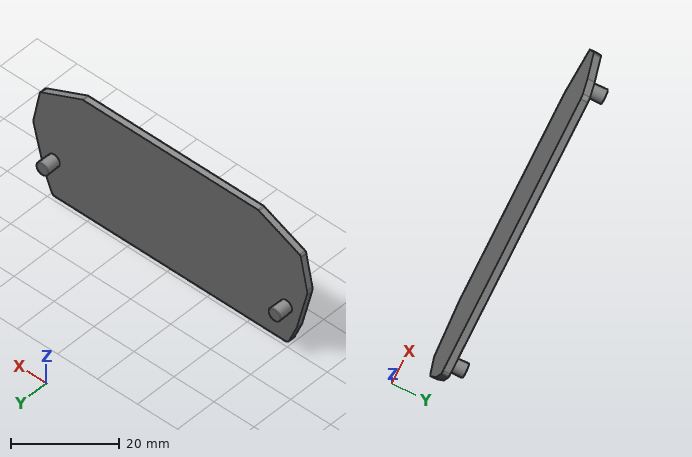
import cadquery as cq

plate_thickness = 1.5
plate_height = 29.0
top_half_width = 22.0
shoulder_half_width = 32.6
shoulder_height = 24.1
waist_half_width = 34.3
waist_height = 15.7
knee_half_width = 31.65
knee_height = 5.3
bottom_half_width = 29.45
bottom_radius = 1.0
upper_radius = 0.7
waist_radius = 2.6

total_depth = 4.8
pin_length = total_depth - plate_thickness
pin_base_diameter = 2.9
pin_tip_diameter = 3.0
pin_half_spacing = 29.05
pin_height = 9.1
pin_tip_fillet = 0.15


def make_plate():
    """Symmetric plate with rounded corners, front face on Y = 0."""
    right_side = [
        (bottom_half_width, 0),
        (knee_half_width, knee_height),
        (waist_half_width, waist_height),
        (shoulder_half_width, shoulder_height),
        (top_half_width, plate_height),
    ]
    left_side = [(-x, z) for x, z in reversed(right_side)]
    plate = (
        cq.Workplane("XZ")
        .polyline(right_side + left_side)
        .close()
        .extrude(-plate_thickness)
    )

    def edges_at(half_width, height):
        corners = [(side * half_width, plate_thickness / 2, height) for side in (-1, 1)]
        selector = cq.selectors.NearestToPointSelector(corners[0])
        other = cq.selectors.NearestToPointSelector(corners[1])
        return plate.edges("|Y").edges(selector + other)

    plate = edges_at(bottom_half_width, 0).fillet(bottom_radius)
    plate = edges_at(waist_half_width, waist_height).fillet(waist_radius)
    plate = edges_at(shoulder_half_width, shoulder_height).fillet(upper_radius)
    return edges_at(top_half_width, plate_height).fillet(upper_radius)


def make_pin(x):
    """Round pin on the back face, flaring slightly to a rounded tip."""
    return (
        cq.Workplane("XZ", origin=(x, plate_thickness, pin_height))
        .circle(pin_base_diameter / 2)
        .workplane(offset=-pin_length)
        .circle(pin_tip_diameter / 2)
        .loft()
        .faces(">Y")
        .edges()
        .fillet(pin_tip_fillet)
    )


result = make_plate()
for side in (-1, 1):
    result = result.union(make_pin(side * pin_half_spacing))